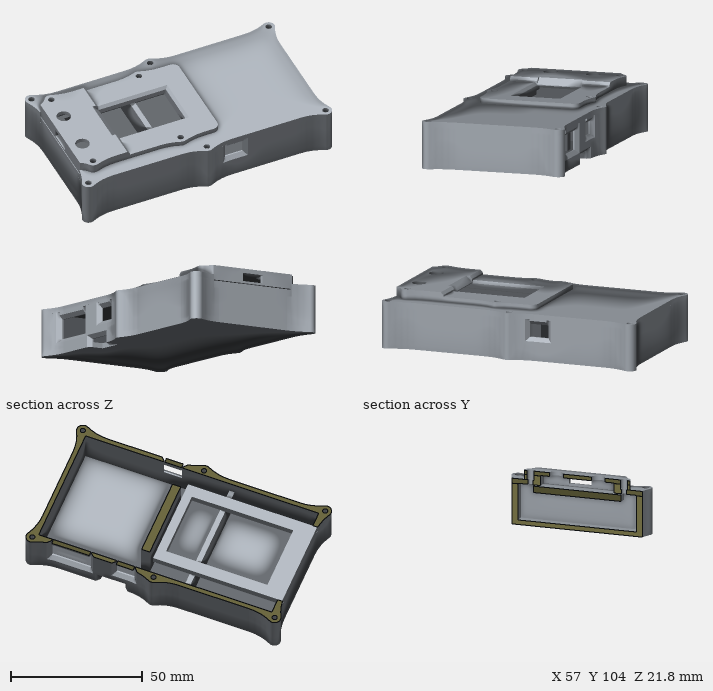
import cadquery as cq
import math


HALF_WIDTH = 26.0
HALF_LENGTH = 49.5
LUG_RADIUS = 2.5
LUG_BLEND = 20.0
WALL = 2.0

FLOOR = 2.0
TRAY_BOTTOM = 13.2
TRAY_TOP = 15.9
HOUSING_TOP = 16.2
LID_TOP = 18.2
COVER_TOP = 20.2
VISOR_TOP = 21.8
FRONT_RIB_TOP = 11.1

SCREW_CLEARANCE = 2.5
SCREW_PILOT = 1.8

COVER_HALF_WIDTH = 20.0
COVER_BACK = 8.3
COVER_CORNER = 2.7
COVER_LUG_RADIUS = 2.6
COVER_LUG_BLEND = 23.4
LUG_FOOT_ANGLE = 57
COVER_SCREW_X = 19.0
COVER_SCREW_BACK = -7.8
COVER_SCREW_FRONT = -44.4
COVER_FRONT_HALF_WIDTH = 18.2
COVER_FRONT_GAP = 0.1

BAY_HALF_WIDTH = 18.0
BAY_BACK = 3.2
BAY_FRONT_WALL = 1.5
RECESS_HALF_WIDTH = 14.8
RECESS_BACK = 1.2
RECESS_CEILING = 17.3
TRAY_OPENING_HALF_WIDTH = 13.3
TRAY_OPENING_BACK = -0.2
TRAY_OPENING_FRONT = -41.6

WINDOW_HALF_WIDTH = 8.9
WINDOW_BACK = -1.2
WINDOW_BEVEL = 1.0
BEVEL_BOTTOM = COVER_TOP - WINDOW_BEVEL
VISOR_BACK = -29.4
VISOR_CHAMFER = 1.0
SIGHT_SLOPE = 2.4
SILL_FRONT = -32.2
BUTTON_DIAMETER = 5.5
BUTTON_X = 8.5
BUTTON_Y = -44.0
USB_WIDTH = 9.2
USB_BOTTOM = 17.1

RIB_HALF_LENGTH = 16.0
FRONT_RIB_FRONT = -13.3
FRONT_RIB_BACK = -11.2
REAR_RIB_FRONT = 5.4
REAR_RIB_BACK = 8.9

PORT_BEVEL = 1.5
TAB_CLEARANCE = 0.2
MAIN_PORT = dict(y_min=26.0, y_max=41.9, z_min=5.9, z_max=13.5)
SMALL_PORT = dict(y_min=8.1, y_max=15.6, z_min=8.9, z_max=14.0)
CARD_PORT = dict(y_min=12.0, y_max=22.0, z_min=0, z_max=3.2)
CARD_SLOT_DEPTH = 6.2

FAR = HALF_LENGTH + LUG_RADIUS
FRONT = -HALF_LENGTH
COVER_FRONT = FRONT + COVER_FRONT_GAP
LEFT, RIGHT = -1, 1
LUG_POINTS = [(x, y) for x in (-HALF_WIDTH, HALF_WIDTH) for y in (-HALF_LENGTH, 0, HALF_LENGTH)]
COVER_POINTS = [
    (x, y) for x in (-COVER_SCREW_X, COVER_SCREW_X) for y in (COVER_SCREW_FRONT, COVER_SCREW_BACK)
]


def box(x_min, x_max, y_min, y_max, z_min, z_max):
    size = (x_max - x_min, y_max - y_min, z_max - z_min)
    return cq.Workplane("XY").box(*size, centered=False).translate((x_min, y_min, z_min))


def round_holes(points, diameter, z_min, z_max):
    """Upright round cutters between two heights."""
    holes = cq.Workplane("XY").workplane(offset=z_min).pushPoints(points)
    return holes.circle(diameter / 2).extrude(z_max - z_min)


def lug_blend(lug_radius, blend_radius, inset):
    """Concave arc from a straight side to a lug whose centre lies `inset` inside that side.

    Returns (start, middle, end) as (distance along the side, height above the side),
    measured from the foot of the lug centre.
    """
    reach = math.sqrt((blend_radius + lug_radius) ** 2 - (blend_radius + inset) ** 2)
    angle = math.asin(reach / (blend_radius + lug_radius))

    def on_arc(a):
        return (reach - blend_radius * math.sin(a), blend_radius * (1 - math.cos(a)))

    return on_arc(0), on_arc(angle / 2), on_arc(angle)


def case_block(z_min, z_max):
    """The case outline with its six lugs, as a block between two heights."""
    start, middle, end = lug_blend(LUG_RADIUS, LUG_BLEND, 0)
    diagonal = LUG_RADIUS / math.sqrt(2)

    def on_end(point, side):
        return (-HALF_WIDTH + point[0], side * (HALF_LENGTH + point[1]))

    def on_flank(point, lug_y, side):
        return (-HALF_WIDTH - point[1], lug_y + side * point[0])

    def corner(side):
        return (-HALF_WIDTH - diagonal, side * (HALF_LENGTH + diagonal))

    half = (
        cq.Workplane("XY")
        .workplane(offset=z_min)
        .moveTo(0, HALF_LENGTH)
        .lineTo(*on_end(start, 1))
        .threePointArc(on_end(middle, 1), on_end(end, 1))
        .threePointArc(corner(1), on_flank(end, HALF_LENGTH, -1))
        .threePointArc(on_flank(middle, HALF_LENGTH, -1), on_flank(start, HALF_LENGTH, -1))
        .lineTo(*on_flank(start, 0, 1))
        .threePointArc(on_flank(middle, 0, 1), on_flank(end, 0, 1))
        .threePointArc((-HALF_WIDTH - LUG_RADIUS, 0), on_flank(end, 0, -1))
        .threePointArc(on_flank(middle, 0, -1), on_flank(start, 0, -1))
        .lineTo(*on_flank(start, -HALF_LENGTH, 1))
        .threePointArc(on_flank(middle, -HALF_LENGTH, 1), on_flank(end, -HALF_LENGTH, 1))
        .threePointArc(corner(-1), on_end(end, -1))
        .threePointArc(on_end(middle, -1), on_end(start, -1))
        .lineTo(0, -HALF_LENGTH)
    )
    return half.mirrorY().extrude(z_max - z_min)


def cover_block(z_min, z_max):
    """The cover outline with its four lugs, as a block between two heights."""
    inset = COVER_HALF_WIDTH - COVER_SCREW_X
    start, middle, end = lug_blend(COVER_LUG_RADIUS, COVER_LUG_BLEND, inset)
    lug_x = -COVER_SCREW_X - COVER_LUG_RADIUS
    corner_offset = COVER_CORNER * (1 - math.sqrt(0.5))
    turn = math.radians(LUG_FOOT_ANGLE)
    foot = (
        -COVER_SCREW_X - COVER_LUG_RADIUS * math.cos(turn),
        COVER_SCREW_FRONT - COVER_LUG_RADIUS * math.sin(turn),
    )

    def on_flank(point, lug_y, side):
        return (-COVER_HALF_WIDTH - point[1], lug_y + side * point[0])

    half = (
        cq.Workplane("XY")
        .workplane(offset=z_min)
        .moveTo(0, COVER_BACK)
        .lineTo(-COVER_HALF_WIDTH + COVER_CORNER, COVER_BACK)
        .threePointArc(
            (-COVER_HALF_WIDTH + corner_offset, COVER_BACK - corner_offset),
            (-COVER_HALF_WIDTH, COVER_BACK - COVER_CORNER),
        )
        .lineTo(*on_flank(start, COVER_SCREW_BACK, 1))
        .threePointArc(on_flank(middle, COVER_SCREW_BACK, 1), on_flank(end, COVER_SCREW_BACK, 1))
        .threePointArc((lug_x, COVER_SCREW_BACK), on_flank(end, COVER_SCREW_BACK, -1))
        .threePointArc(on_flank(middle, COVER_SCREW_BACK, -1), on_flank(start, COVER_SCREW_BACK, -1))
        .lineTo(*on_flank(start, COVER_SCREW_FRONT, 1))
        .threePointArc(on_flank(middle, COVER_SCREW_FRONT, 1), on_flank(end, COVER_SCREW_FRONT, 1))
        .threePointArc((lug_x, COVER_SCREW_FRONT), foot)
        .tangentArcPoint((-COVER_FRONT_HALF_WIDTH, COVER_FRONT), relative=False)
        .lineTo(0, COVER_FRONT)
    )
    return half.mirrorY().extrude(z_max - z_min)


def bevel_outer_edges(body, port, z_min, z_max, side):
    """Bevel the edges where a port between two heights breaks the outer wall face on one X side."""
    margin = 0.1
    near = (side * (HALF_WIDTH - margin), port["y_min"] - margin, z_min - margin)
    far = (side * (HALF_WIDTH + LUG_RADIUS), port["y_max"] + margin, z_max + margin)
    return body.edges(cq.selectors.BoxSelector(near, far, boundingbox=True)).chamfer(PORT_BEVEL)


def cut_port(housing, port, top, depth, side):
    """Cut a port inwards from one X side and bevel its mouth; `top` is where the cut ends."""
    reach = sorted((side * (HALF_WIDTH + LUG_RADIUS), side * (HALF_WIDTH - depth)))
    housing = housing.cut(box(*reach, port["y_min"], port["y_max"], port["z_min"], top))
    return bevel_outer_edges(housing, port, port["z_min"], top, side)


def port_tab(port, side):
    """Tab under the lid that closes the open top of a port, bevelled like the port."""
    reach = sorted((side * (HALF_WIDTH + LUG_RADIUS), side * (HALF_WIDTH - WALL)))
    y_min = port["y_min"] + TAB_CLEARANCE
    y_max = port["y_max"] - TAB_CLEARANCE
    tab = box(*reach, y_min, y_max, port["z_max"], HOUSING_TOP)
    tab = tab.intersect(case_block(0, HOUSING_TOP))
    return bevel_outer_edges(tab, port, port["z_max"], port["z_max"], side)


def make_housing():
    housing = case_block(0, HOUSING_TOP)
    inner_x = HALF_WIDTH - WALL
    inner_y = HALF_LENGTH - WALL
    housing = housing.cut(box(-inner_x, inner_x, -inner_y, inner_y, FLOOR, HOUSING_TOP))
    housing = housing.union(
        box(-inner_x, inner_x, FRONT_RIB_FRONT, FRONT_RIB_BACK, 0, FRONT_RIB_TOP)
    )
    housing = housing.union(
        box(-RIB_HALF_LENGTH, RIB_HALF_LENGTH, REAR_RIB_FRONT, REAR_RIB_BACK, 0, HOUSING_TOP)
    )
    housing = cut_port(housing, MAIN_PORT, HOUSING_TOP, WALL, LEFT)
    housing = cut_port(housing, SMALL_PORT, HOUSING_TOP, WALL, LEFT)
    housing = cut_port(housing, SMALL_PORT, HOUSING_TOP, WALL, RIGHT)
    housing = cut_port(housing, CARD_PORT, CARD_PORT["z_max"], CARD_SLOT_DEPTH, LEFT)
    housing = housing.cut(
        box(-BAY_HALF_WIDTH, BAY_HALF_WIDTH, -FAR, -inner_y, TRAY_BOTTOM, HOUSING_TOP)
    )
    return housing.cut(round_holes(LUG_POINTS, SCREW_PILOT, FLOOR, HOUSING_TOP))


def make_lid():
    lid = case_block(HOUSING_TOP, LID_TOP)
    lid = lid.cut(box(-BAY_HALF_WIDTH, BAY_HALF_WIDTH, -FAR, BAY_BACK, HOUSING_TOP, LID_TOP))
    lid = lid.union(port_tab(MAIN_PORT, LEFT))
    lid = lid.union(port_tab(SMALL_PORT, LEFT)).union(port_tab(SMALL_PORT, RIGHT))
    lid = lid.cut(round_holes(LUG_POINTS, SCREW_CLEARANCE, HOUSING_TOP, LID_TOP))
    return lid.cut(round_holes(COVER_POINTS, SCREW_PILOT, HOUSING_TOP, LID_TOP))


def make_tray():
    tray = box(-BAY_HALF_WIDTH, BAY_HALF_WIDTH, FRONT, BAY_BACK, TRAY_BOTTOM, TRAY_TOP)
    return tray.cut(
        box(
            -TRAY_OPENING_HALF_WIDTH,
            TRAY_OPENING_HALF_WIDTH,
            TRAY_OPENING_FRONT,
            TRAY_OPENING_BACK,
            TRAY_BOTTOM,
            TRAY_TOP,
        )
    )


def make_cover():
    recess_front = FRONT + BAY_FRONT_WALL
    cover = cover_block(LID_TOP, COVER_TOP)
    cover = cover.union(
        box(-BAY_HALF_WIDTH, BAY_HALF_WIDTH, COVER_FRONT, BAY_BACK, HOUSING_TOP, LID_TOP)
    )
    recess = (-RECESS_HALF_WIDTH, RECESS_HALF_WIDTH, recess_front)
    cover = cover.cut(box(*recess, RECESS_BACK, HOUSING_TOP, RECESS_CEILING))
    cover = cover.cut(box(*recess, SILL_FRONT, HOUSING_TOP, COVER_TOP))
    cover = cover.cut(
        box(-WINDOW_HALF_WIDTH, WINDOW_HALF_WIDTH, SILL_FRONT, WINDOW_BACK, HOUSING_TOP, COVER_TOP)
    )
    cover = cover.cut(window_bevel())
    cover = cover.cut(
        box(-USB_WIDTH / 2, USB_WIDTH / 2, COVER_FRONT, recess_front, USB_BOTTOM, COVER_TOP)
    )
    return cover.cut(round_holes(COVER_POINTS, SCREW_CLEARANCE, LID_TOP, COVER_TOP))


def window_bevel():
    """Frustum that bevels the two sides and the back of the window."""
    length = WINDOW_BACK - VISOR_BACK
    return (
        cq.Workplane("XY", origin=(0, VISOR_BACK + length / 2, BEVEL_BOTTOM))
        .rect(2 * WINDOW_HALF_WIDTH, length)
        .workplane(offset=WINDOW_BEVEL)
        .center(0, WINDOW_BEVEL / 2)
        .rect(2 * (WINDOW_HALF_WIDTH + WINDOW_BEVEL), length + WINDOW_BEVEL)
        .loft(ruled=True)
    )


def make_visor():
    visor = cover_block(COVER_TOP, VISOR_TOP)
    visor = visor.intersect(box(-FAR, FAR, -FAR, VISOR_BACK, COVER_TOP, VISOR_TOP))
    visor = visor.faces(">Y").edges(">Z").chamfer(VISOR_CHAMFER)
    visor = visor.union(
        box(-WINDOW_HALF_WIDTH, WINDOW_HALF_WIDTH, SILL_FRONT, VISOR_BACK, BEVEL_BOTTOM, COVER_TOP)
    )
    slope = (
        cq.Workplane("YZ", origin=(-WINDOW_HALF_WIDTH, 0, 0))
        .polyline(
            [
                (VISOR_BACK, VISOR_TOP - SIGHT_SLOPE),
                (VISOR_BACK - SIGHT_SLOPE, VISOR_TOP),
                (VISOR_BACK, VISOR_TOP),
            ]
        )
        .close()
        .extrude(2 * WINDOW_HALF_WIDTH)
    )
    visor = visor.cut(slope)
    buttons = [(-BUTTON_X, BUTTON_Y), (BUTTON_X, BUTTON_Y)]
    visor = visor.cut(round_holes(buttons, BUTTON_DIAMETER, COVER_TOP, VISOR_TOP))
    return visor.cut(round_holes(COVER_POINTS, SCREW_CLEARANCE, COVER_TOP, VISOR_TOP))


housing = make_housing()
lid = make_lid()
tray = make_tray()
cover = make_cover()
visor = make_visor()

result = cq.Compound.makeCompound(
    [housing.val(), lid.val(), tray.val(), cover.val(), visor.val()]
)